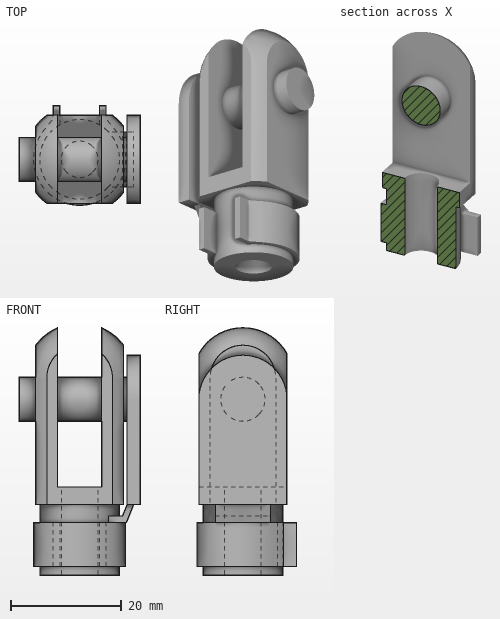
import cadquery as cq
import math

total_height = 45.0
body_width = 16.0
half_width = body_width / 2
turned_radius = 10.0
body_base = 12.82
slot_width = body_width / 2
slot_floor = 16.05
nose_center = total_height - math.sqrt(turned_radius**2 - (slot_width / 2) ** 2)

neck_radius = 7.25
bore_radius = 3.35

collar_radius = 8.35
collar_base = 1.58
collar_top = 9.6
lug_inner = 3.6
lug_thickness = 1.2
lug_outer = lug_inner + lug_thickness
lug_back = 9.75
flank_end = 7.4

pin_radius = 4.0
pin_height = 32.0
pin_end = 11.0
plate_inner = 8.6
plate_outer = 11.02
tongue_width = 10.0
tongue_thickness = 1.2
tongue_start = 4.5
leg_width = 1.2
leg_slope = 0.4


def make_clevis():
    bar = (
        cq.Workplane("XY")
        .workplane(offset=body_base)
        .rect(body_width, body_width)
        .extrude(total_height)
    )
    turned = (
        cq.Workplane("XY")
        .workplane(offset=body_base)
        .circle(turned_radius)
        .extrude(nose_center - body_base)
    )
    nose = cq.Workplane("XY").sphere(turned_radius).translate((0, 0, nose_center))
    slot = (
        cq.Workplane("XY")
        .workplane(offset=slot_floor)
        .rect(slot_width, 2 * body_width)
        .extrude(total_height)
    )
    return bar.intersect(turned.union(nose)).cut(slot)


def make_neck():
    return cq.Workplane("XY").circle(neck_radius).extrude(body_base)


def make_collar():
    corner_distance = math.hypot(lug_outer, flank_end)
    corner_angle = math.atan2(flank_end, lug_outer)
    tangent_angle = corner_angle - math.acos(collar_radius / corner_distance)
    tangent_x = collar_radius * math.cos(tangent_angle)
    tangent_y = collar_radius * math.sin(tangent_angle)
    outline = (
        cq.Workplane("XY")
        .workplane(offset=collar_base)
        .moveTo(-tangent_x, tangent_y)
        .threePointArc((0, -collar_radius), (tangent_x, tangent_y))
        .lineTo(lug_outer, flank_end)
        .lineTo(lug_outer, lug_back)
        .lineTo(-lug_outer, lug_back)
        .lineTo(-lug_outer, flank_end)
        .close()
        .extrude(collar_top - collar_base)
    )
    gap = (
        cq.Workplane("XY")
        .workplane(offset=collar_base)
        .center(0, lug_back / 2)
        .rect(2 * lug_inner, lug_back)
        .extrude(collar_top - collar_base)
    )
    return outline.cut(gap)


def make_pin():
    return (
        cq.Workplane("YZ")
        .workplane(offset=-pin_end)
        .center(0, pin_height)
        .circle(pin_radius)
        .extrude(pin_end + plate_outer)
    )


def make_clip():
    plate = (
        cq.Workplane("YZ")
        .workplane(offset=plate_inner)
        .moveTo(-half_width, body_base)
        .lineTo(half_width, body_base)
        .lineTo(half_width, pin_height)
        .threePointArc((0, pin_height + half_width), (-half_width, pin_height))
        .close()
        .extrude(plate_outer - plate_inner)
    )
    tongue_top = collar_top + tongue_thickness
    leg_top_outer = plate_inner + leg_width
    tongue = (
        cq.Workplane("XZ")
        .moveTo(tongue_start, collar_top)
        .lineTo(leg_top_outer - leg_slope * (body_base - collar_top), collar_top)
        .lineTo(leg_top_outer, body_base)
        .lineTo(plate_inner, body_base)
        .lineTo(plate_inner - leg_slope * (body_base - tongue_top), tongue_top)
        .lineTo(tongue_start, tongue_top)
        .close()
        .extrude(tongue_width / 2, both=True)
    )
    return plate.union(tongue)


bore = cq.Workplane("XY").circle(bore_radius).extrude(slot_floor)

result = (
    make_clevis()
    .union(make_neck())
    .union(make_collar())
    .cut(bore)
    .union(make_pin())
    .union(make_clip())
)